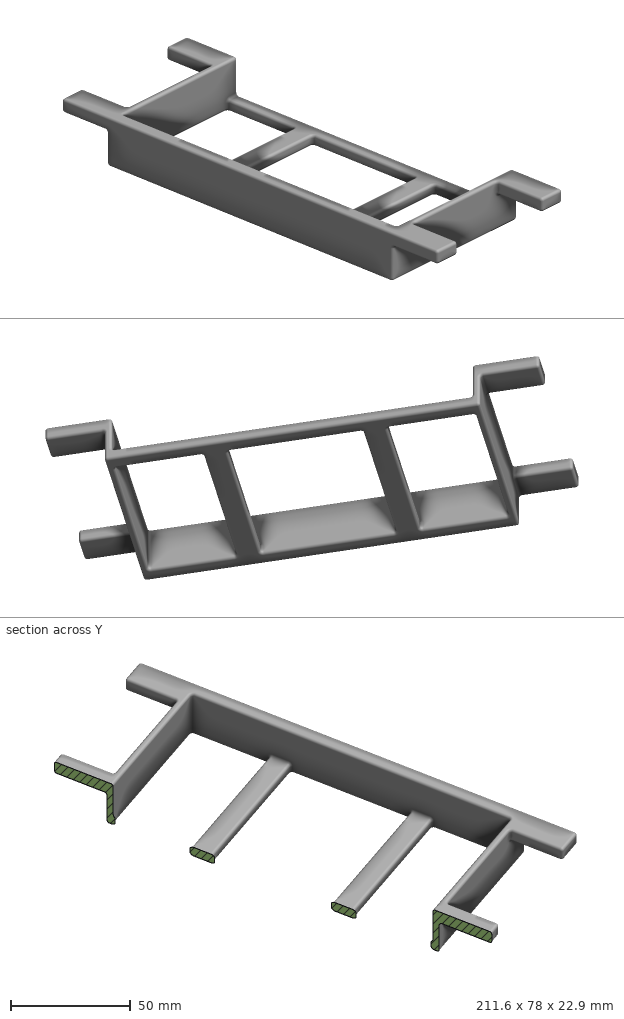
import cadquery as cq

length = 211.58
width = 77.98
height = 22.86

arm_length = 25.4
arm_width = 12.7
arm_thickness = 6.35
end_wall_thickness = 3.175
front_wall_thickness = 6.35
floor_thickness = 5.08
back_rail_width = 6.35
crossbar_width = 10.16
crossbar_spacing = 68.35
edge_radius = 1.27

tip_x = length / 2
body_x = tip_x - arm_length
cavity_x = body_x - end_wall_thickness
crossbar_inner_x = (crossbar_spacing - crossbar_width) / 2
crossbar_outer_x = crossbar_inner_x + crossbar_width
front_y = -width / 2
back_y = width / 2
cavity_front_y = front_y + front_wall_thickness
opening_back_y = back_y - back_rail_width


def block(x_range, y_range, z_range):
    """Box spanning the given (low, high) limits along each axis."""
    lows, highs = zip(x_range, y_range, z_range)
    sizes = [high - low for low, high in zip(lows, highs)]
    return cq.Workplane("XY").box(*sizes, centered=False).translate(lows)


def make_tray():
    """Tray with a front wall, two end walls, a floor and an open back."""
    tray = block((-body_x, body_x), (front_y, back_y), (0, height))
    cavity = block((-cavity_x, cavity_x), (cavity_front_y, back_y), (floor_thickness, height))
    return tray.cut(cavity)


def cut_floor_openings(frame):
    """Cut three windows through the floor, leaving two crossbars and a back rail."""
    x_ranges = (
        (-cavity_x, -crossbar_outer_x),
        (-crossbar_inner_x, crossbar_inner_x),
        (crossbar_outer_x, cavity_x),
    )
    for x_range in x_ranges:
        frame = frame.cut(block(x_range, (cavity_front_y, opening_back_y), (0, floor_thickness)))
    return frame


def add_arms(frame):
    """Add an arm at each top corner, sticking out along X from the end walls."""
    for x_range in ((-tip_x, -body_x), (body_x, tip_x)):
        for y_range in ((front_y, front_y + arm_width), (back_y - arm_width, back_y)):
            frame = frame.union(block(x_range, y_range, (height - arm_thickness, height)))
    return frame.clean()


sharp_frame = add_arms(cut_floor_openings(make_tray()))

result = sharp_frame.edges().fillet(edge_radius)